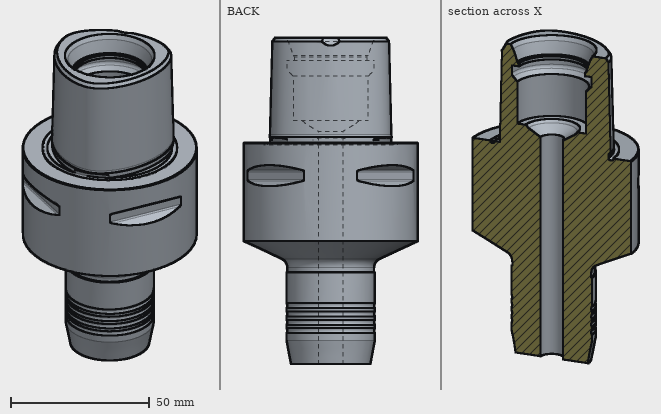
import cadquery as cq
import math


flange_radius = 31.5
flange_edge_chamfer = 0.25
flange_bottom_z = -35.6
cone_end_radius = 17.75
cone_end_z = -42.0
stem_radius = 16.0
neck_radius = 15.75
neck_end_z = -46.7
neck_step_chamfer = stem_radius - neck_radius
nose_start_z = -71.5
nose_end_radius = 14.4
bottom_z = -80.0

groove_count = 4
groove_first_z = -58.0
groove_pitch = 3.0
groove_width = 1.8
groove_depth = 0.25

shank_height = 38.0
shank_mean_radius = 22.0
lobe_height = 1.4
lobe_count = 3
lobe_azimuth = -90.0
taper_per_side = 1 / 40
taper_start_z = 3.0
root_overlap = 1.0
flare_start_z = 2.0
flare = 0.1
tip_chamfer_height = 1.45
tip_chamfer_width = 1.05
polygon_points = 48

relief_centre_radius = 23.5
relief_radius = 0.9
relief_top_centre_z = 0.9

notch_radius = 9.0
notch_tilt = 30.0
notch_floor_y = 18.1
notch_length = 20.0

mouth_radius = 16.25
mouth_depth = 1.7
taper_bore_radius = 15.2
taper_bore_end_radius = 13.55
taper_bore_end_depth = 6.4
lip_radius = 13.1
lip_start_depth = 7.0
lip_end_depth = 8.2
undercut_radius = 15.75
undercut_fillet = 1.9
pilot_radius = 13.55
pilot_start_depth = 13.95
pilot_depth = 30.0
countersink_radius = 10.25
drill_cone_radius = 9.15
drill_point_angle = 118.0
coolant_radius = 4.45

slot_count = 4
slot_first_azimuth = 45.0
slot_floor_distance = 28.0
slot_centre_z = -11.9
slot_root_half_width = 1.8
slot_flank_angle = 30.0
slot_corner_radius = 0.7
slot_overshoot = 1.0


def polygon_wire(mean_radius, z):
    """Constant-width lobed outline given by its support function."""
    points = []
    for i in range(polygon_points):
        normal = math.radians(lobe_azimuth) + 2 * math.pi * i / polygon_points
        phase = lobe_count * (normal - math.radians(lobe_azimuth))
        support = mean_radius + lobe_height * math.cos(phase)
        slope = -lobe_count * lobe_height * math.sin(phase)
        x = support * math.cos(normal) - slope * math.sin(normal)
        y = support * math.sin(normal) + slope * math.cos(normal)
        points.append(cq.Vector(x, y, z))
    return cq.Wire.assembleEdges([cq.Edge.makeSpline(points, periodic=True)])


def polygon_section(bottom_mean_radius, bottom, top_mean_radius, top):
    """Solid between two polygon outlines, straight from one to the other."""
    wires = [polygon_wire(bottom_mean_radius, bottom), polygon_wire(top_mean_radius, top)]
    return cq.Workplane(obj=cq.Solid.makeLoft(wires, True))


def make_body():
    """Flange and stem, with the stem grooves in the turned outline."""
    cone_angle = math.atan2(flange_bottom_z - cone_end_z, flange_radius - cone_end_radius)
    fillet_chord_angle = (cone_angle + math.pi / 2) / 2
    neck_fillet_end_z = cone_end_z - (cone_end_radius - neck_radius) * math.tan(fillet_chord_angle)
    outline = (
        cq.Workplane("XZ")
        .moveTo(0, 0)
        .lineTo(-(flange_radius - flange_edge_chamfer), 0)
        .lineTo(-flange_radius, -flange_edge_chamfer)
        .lineTo(-flange_radius, flange_bottom_z)
        .lineTo(-cone_end_radius, cone_end_z)
        .tangentArcPoint((-neck_radius, neck_fillet_end_z), relative=False)
        .lineTo(-neck_radius, neck_end_z)
        .lineTo(-stem_radius, neck_end_z - neck_step_chamfer)
    )
    for i in range(groove_count):
        top = groove_first_z - i * groove_pitch
        outline = outline.lineTo(-stem_radius, top).threePointArc(
            (-(stem_radius - groove_depth), top - groove_width / 2),
            (-stem_radius, top - groove_width),
        )
    return (
        outline.lineTo(-stem_radius, nose_start_z)
        .lineTo(-nose_end_radius, bottom_z)
        .lineTo(0, bottom_z)
        .close()
        .revolve(360, (0, 0, 0), (0, 1, 0))
    )


def make_shank():
    """Root, flared collar, taper and chamfered tip, stacked along Z."""
    chamfer_z = shank_height - tip_chamfer_height
    chamfer_mean_radius = shank_mean_radius - (chamfer_z - taper_start_z) * taper_per_side
    tip_mean_radius = chamfer_mean_radius - tip_chamfer_width
    root = polygon_section(shank_mean_radius, -root_overlap, shank_mean_radius, flare_start_z)
    collar = polygon_section(shank_mean_radius + flare, flare_start_z, shank_mean_radius, taper_start_z)
    taper = polygon_section(shank_mean_radius, taper_start_z, chamfer_mean_radius, chamfer_z)
    tip = polygon_section(chamfer_mean_radius, chamfer_z, tip_mean_radius, shank_height)
    return root.union(collar).union(taper).union(tip)


def make_relief():
    """Ring with round ends, sunk in the flange face and cutting under the three lobes."""
    inner = relief_centre_radius - relief_radius
    outer = relief_centre_radius + relief_radius
    return (
        cq.Workplane("XZ")
        .moveTo(-inner, 0)
        .threePointArc((-relief_centre_radius, -relief_radius), (-outer, 0))
        .lineTo(-outer, relief_top_centre_z)
        .threePointArc(
            (-relief_centre_radius, relief_top_centre_z + relief_radius),
            (-inner, relief_top_centre_z),
        )
        .close()
        .revolve(360, (0, 0, 0), (0, 1, 0))
    )


def make_notch():
    """Cylinder tilted outward and downward across the tip edge on the +Y side."""
    tilt = math.radians(notch_tilt)
    direction = cq.Vector(0, math.sin(tilt), -math.cos(tilt))
    floor_point = cq.Vector(0, notch_floor_y, shank_height)
    axis_point = floor_point + cq.Vector(0, math.cos(tilt), math.sin(tilt)) * notch_radius
    start = axis_point - direction * (notch_length / 2)
    return cq.Workplane(obj=cq.Solid.makeCylinder(notch_radius, notch_length, start, direction))


def make_bore():
    """Stepped bore from the shank tip, with a coolant hole on through the stem."""
    top = shank_height
    floor_z = top - pilot_depth
    cone_slope = math.tan(math.radians(drill_point_angle / 2))
    drill_cone_start_z = floor_z - (countersink_radius - drill_cone_radius)
    drill_cone_end_z = drill_cone_start_z - (drill_cone_radius - coolant_radius) / cone_slope
    fillet_end_radius = undercut_radius - undercut_fillet * (1 - math.sqrt(0.5))
    fillet_end_z = top - pilot_start_depth + (fillet_end_radius - pilot_radius)
    fillet_start_z = fillet_end_z + undercut_fillet * math.sqrt(0.5)
    return (
        cq.Workplane("XZ")
        .moveTo(0, top)
        .lineTo(-mouth_radius, top)
        .lineTo(-taper_bore_radius, top - mouth_depth)
        .lineTo(-taper_bore_end_radius, top - taper_bore_end_depth)
        .lineTo(-lip_radius, top - lip_start_depth)
        .lineTo(-lip_radius, top - lip_end_depth)
        .lineTo(-undercut_radius, top - lip_end_depth)
        .lineTo(-undercut_radius, fillet_start_z)
        .tangentArcPoint((-fillet_end_radius, fillet_end_z), relative=False)
        .lineTo(-pilot_radius, top - pilot_start_depth)
        .lineTo(-pilot_radius, floor_z)
        .lineTo(-countersink_radius, floor_z)
        .lineTo(-drill_cone_radius, drill_cone_start_z)
        .lineTo(-coolant_radius, drill_cone_end_z)
        .lineTo(-coolant_radius, bottom_z)
        .lineTo(0, bottom_z)
        .close()
        .revolve(360, (0, 0, 0), (0, 1, 0))
    )


def make_slot(azimuth):
    """Straight slot across the flange rim with a flat floor, rounded corners and sloping flanks."""
    outside = flange_radius + slot_overshoot
    flank_slope = math.tan(math.radians(slot_flank_angle))
    half_mouth = slot_root_half_width + (outside - slot_floor_distance) * flank_slope
    return (
        cq.Workplane("XZ")
        .moveTo(slot_floor_distance, slot_centre_z - slot_root_half_width)
        .lineTo(slot_floor_distance, slot_centre_z + slot_root_half_width)
        .lineTo(outside, slot_centre_z + half_mouth)
        .lineTo(outside, slot_centre_z - half_mouth)
        .close()
        .extrude(flange_radius, both=True)
        .faces("<X")
        .edges("|Y")
        .fillet(slot_corner_radius)
        .rotate((0, 0, 0), (0, 0, 1), azimuth)
    )


part = make_body().union(make_shank()).cut(make_relief()).cut(make_notch()).cut(make_bore())
for i in range(slot_count):
    part = part.cut(make_slot(slot_first_azimuth + i * 360 / slot_count))

result = part